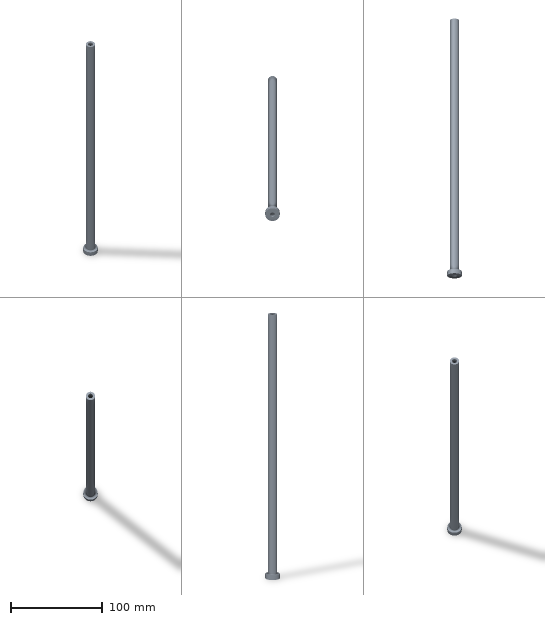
import cadquery as cq

total_length = 300.0
head_diameter = 16.0
head_height = 5.0
shaft_diameter = 10.0
bore_diameter = 5.5

neck_fillet = 0.5

head_radius = head_diameter / 2
shaft_radius = shaft_diameter / 2
bore_radius = bore_diameter / 2

half_section = (
    cq.Workplane("XZ")
    .moveTo(-bore_radius, 0)
    .lineTo(-head_radius, 0)
    .lineTo(-head_radius, head_height)
    .lineTo(-shaft_radius - neck_fillet, head_height)
    .radiusArc((-shaft_radius, head_height + neck_fillet), -neck_fillet)
    .lineTo(-shaft_radius, total_length)
    .lineTo(-bore_radius, total_length)
    .close()
)

result = half_section.revolve(360, (0, 0, 0), (0, 1, 0))